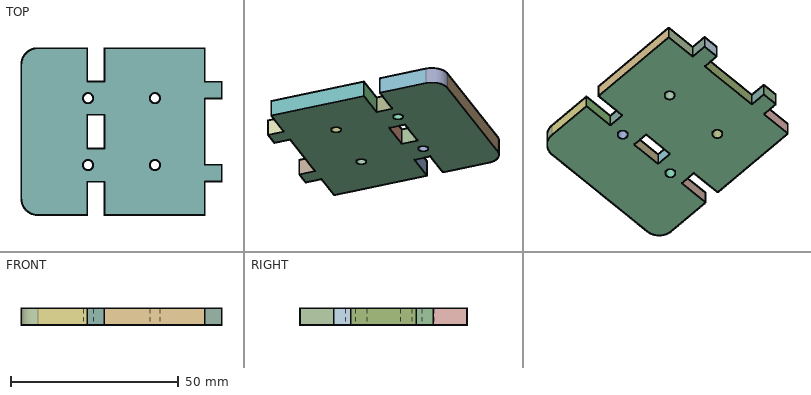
import cadquery as cq

overall_length = 60.0
plate_width = 50.0
thickness = 5.1
corner_radius = 5.0

slot_start = 19.8
slot_width = thickness
edge_slot_depth = 10.0
window_length = 10.0

tab_length = thickness
tab_width = thickness
tab_spacing = 24.8
plate_length = overall_length - tab_length

hole_diameter = 3.0
hole_spacing = 20.0
first_hole_x = 20.0


def block(x_start, y_center, length, width):
    """Full-thickness block that starts at x_start and is centred on y_center."""
    return (
        cq.Workplane("XY")
        .box(length, width, thickness, centered=(False, True, False))
        .translate((x_start, y_center, 0))
    )


def make_plate():
    plate = block(0, 0, plate_length, plate_width)
    return plate.edges("|Z and <X").fillet(corner_radius)


def add_tabs(body):
    for side in (-1, 1):
        body = body.union(block(plate_length, side * tab_spacing / 2, tab_length, tab_width))
    return body


def cut_slots(body):
    body = body.cut(block(slot_start, 0, slot_width, window_length))
    edge_slot_center = (plate_width - edge_slot_depth) / 2
    for side in (-1, 1):
        body = body.cut(block(slot_start, side * edge_slot_center, slot_width, edge_slot_depth))
    return body


def drill_holes(body):
    grid_center_x = first_hole_x + hole_spacing / 2
    holes = (
        cq.Workplane("XY")
        .center(grid_center_x, 0)
        .rarray(hole_spacing, hole_spacing, 2, 2)
        .circle(hole_diameter / 2)
        .extrude(thickness)
    )
    return body.cut(holes)


result = drill_holes(cut_slots(add_tabs(make_plate())))